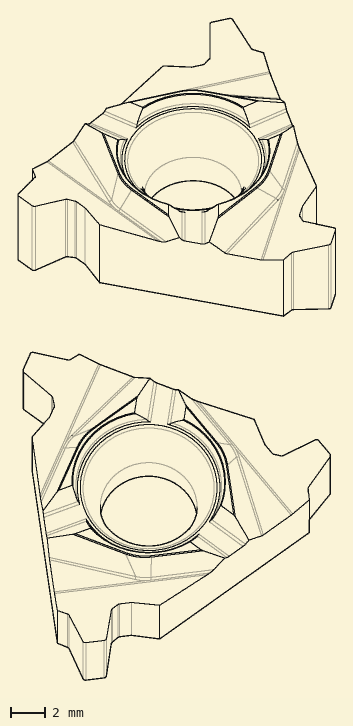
import cadquery as cq
import math

CORNERS = 3
TURN = 360 / CORNERS
FAR = 13.15
TOLERANCE = 0.002

TOP_Z = 5.85
FLOOR_Z = 4.58
SLOT_Z = 5.04

SIDE_X = -6.35
TIP_Y = -9.58
ROOT_Y = -7.1
EDGE_ROUND = 0.17

RAKE_Y = -5.73
RAKE_ANGLE = 15.6
RAKE_BEND_RADIUS = 0.41

WALL_BASE_DISTANCE = 5.6
WALL_TOP_DISTANCE = 4.72
BASE_CORNER_X = -1.05
BASE_LEFT_ANGLE = 21.3
TOP_LEFT_ANGLE = 30
BASE_CORNER_RADIUS = 2.25
TOP_CORNER_RADIUS = 3
HUB_EDGE = 0.047
FOOT_RADIUS = 0.19

SLOT_ANGLE = 194
SLOT_WIDTH = 1.2
SLOT_WALL_ANGLE = 43
SLOT_BEND_RADIUS = 0.26

HOLE_RADIUS = 5.7 / 2
FUNNEL_TOP_RADIUS = 3.85
FUNNEL_BOTTOM_Z = 2.07
FUNNEL_TOP_Z = 4.9
LEDGE_INNER_RADIUS = 4.02
LEDGE_OUTER_RADIUS = 4.19
RECESS_FOOT_RADIUS = 4.28
RECESS_FOOT_Z = 5.19
RECESS_TOP_RADIUS = 4.51


def rotated(point, degrees):
    """Turn a point about the hole axis."""
    a = math.radians(degrees)
    x, y = point
    return (x * math.cos(a) - y * math.sin(a), x * math.sin(a) + y * math.cos(a))


def three_times(shape):
    """Join a shape with its copies at the other two corners."""
    joined = shape
    for i in range(1, CORNERS):
        joined = joined.union(shape.rotate((0, 0, 0), (0, 0, 1), i * TURN))
    return joined


def outline_prism():
    side_end = (SIDE_X, -7.03)
    root_end = (-1.97, ROOT_Y)
    back_corner = (-0.35, -7.55)
    rounded = [(-5.73, -7.4), (-5.13, TIP_Y), (-3.8, TIP_Y), (-3.2, -7.42), (-2.72, ROOT_Y)]
    tooth = [side_end] + rounded + [root_end, back_corner]
    points = [rotated(p, i * TURN) for i in range(CORNERS) for p in tooth]
    prism = cq.Workplane("XY").polyline(points).close().extrude(TOP_Z)
    for i in range(CORNERS):
        for p in rounded:
            x, y = rotated(p, i * TURN)
            edge = cq.selectors.NearestToPointSelector((x, y, TOP_Z / 2))
            prism = prism.edges(edge).fillet(EDGE_ROUND)
    return prism


def rake_blocks():
    """Blocks that rise from the chip floor to the tooth crests, running past the outline."""
    angle = math.radians(RAKE_ANGLE)
    bend = RAKE_BEND_RADIUS * math.tan(angle / 2)
    bend_end = (RAKE_Y - bend * math.cos(angle), FLOOR_Z + bend * math.sin(angle))
    rake = (
        cq.Workplane("YZ")
        .moveTo(0, FLOOR_Z)
        .lineTo(RAKE_Y + bend, FLOOR_Z)
        .tangentArcPoint(bend_end, relative=False)
        .lineTo(-FAR, FLOOR_Z + (FAR + RAKE_Y) * math.tan(angle))
        .lineTo(-FAR, 0)
        .lineTo(0, 0)
        .close()
        .extrude(FAR, both=True)
    )
    return three_times(rake)


def hub_wire(z, distance, corner_x, left_angle, corner_radius):
    """Six-sided loop of long and short walls, rounded where they meet on the chip floor side."""
    corner = (corner_x, -distance)
    next_corner = rotated(corner, TURN)
    lean = math.radians(TURN - 90 - left_angle)
    joint_x = next_corner[0] + (next_corner[1] + distance) * math.tan(lean)
    joint = (joint_x, -distance)
    points = [rotated(p, i * TURN) for i in range(CORNERS) for p in (corner, joint)]
    wire = cq.Wire.makePolygon([cq.Vector(x, y, z) for x, y in points], close=True)
    corners = sorted(wire.Vertices(), key=lambda v: math.hypot(v.X, v.Y))[:CORNERS]
    return wire.fillet2D(corner_radius, corners)


def hub():
    top_corner_x = -WALL_TOP_DISTANCE * math.tan(math.radians(TOP_LEFT_ANGLE / 2))
    base = hub_wire(FLOOR_Z, WALL_BASE_DISTANCE, BASE_CORNER_X, BASE_LEFT_ANGLE, BASE_CORNER_RADIUS)
    top = hub_wire(TOP_Z, WALL_TOP_DISTANCE, top_corner_x, TOP_LEFT_ANGLE, TOP_CORNER_RADIUS)
    return cq.Workplane(cq.Solid.makeLoft([base, top], True)).faces(">Z").chamfer(HUB_EDGE)


def slots():
    """Radial slots with sloped walls and rounded floor corners."""
    wall_rise = FAR - SLOT_Z
    wall_run = wall_rise / math.tan(math.radians(SLOT_WALL_ANGLE))
    half = SLOT_WIDTH / 2
    section = [(-half, SLOT_Z), (half, SLOT_Z), (half + wall_run, FAR), (-half - wall_run, FAR)]
    slot = cq.Workplane("YZ").polyline(section).close().extrude(FAR)
    slot = slot.faces("<Z").edges("|X").fillet(SLOT_BEND_RADIUS)
    return three_times(slot.rotate((0, 0, 0), (0, 0, 1), SLOT_ANGLE))


def screw_hole():
    """Recess, ledge and funnel above a plain through hole."""
    funnel_run = FUNNEL_TOP_RADIUS - HOLE_RADIUS
    funnel_rise = FUNNEL_TOP_Z - FUNNEL_BOTTOM_Z
    funnel_arc = (funnel_run**2 + funnel_rise**2) / (2 * funnel_run)
    return (
        cq.Workplane("XZ")
        .lineTo(HOLE_RADIUS, 0)
        .lineTo(HOLE_RADIUS, FUNNEL_BOTTOM_Z)
        .radiusArc((FUNNEL_TOP_RADIUS, FUNNEL_TOP_Z), funnel_arc)
        .lineTo(LEDGE_INNER_RADIUS, SLOT_Z)
        .lineTo(LEDGE_OUTER_RADIUS, SLOT_Z)
        .lineTo(RECESS_FOOT_RADIUS, RECESS_FOOT_Z)
        .lineTo(RECESS_TOP_RADIUS - HUB_EDGE, TOP_Z - HUB_EDGE)
        .lineTo(RECESS_TOP_RADIUS, TOP_Z)
        .lineTo(0, TOP_Z)
        .close()
        .revolve(360, (0, 0, 0), (0, 1, 0))
    )


def hub_on_floor(outline):
    """Chip floor with the hub standing on it, its wall feet filleted."""
    slab = cq.Workplane("XY").circle(FAR).extrude(FLOOR_Z)
    body = slab.union(hub()).intersect(outline)

    def is_foot(edge):
        """True for floor edges that lie inside the flat sides of the body."""
        middle = edge.Center()
        on_floor = abs(middle.z - FLOOR_Z) < TOLERANCE
        return on_floor and math.hypot(middle.x, middle.y) < abs(SIDE_X) - TOLERANCE

    return body.edges().filter(is_foot).fillet(FOOT_RADIUS)


outline = outline_prism()
teeth = rake_blocks().intersect(outline)
result = hub_on_floor(outline).union(teeth).cut(slots()).cut(screw_hole())